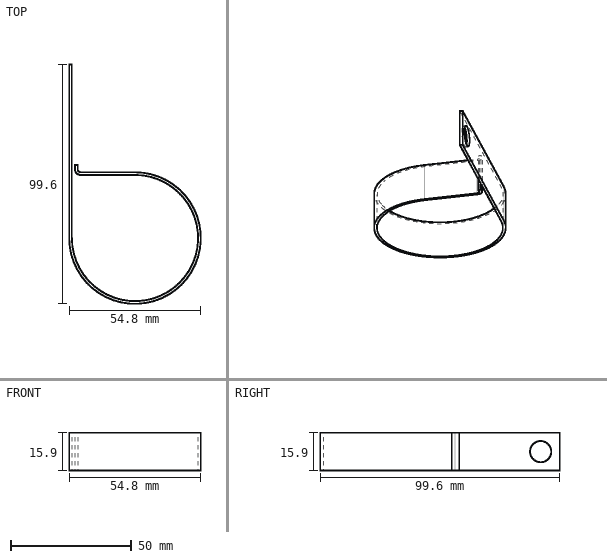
import cadquery as cq
import math

strap_width = 15.88
thickness = 1.22
loop_diameter = 54.81
overall_length = 99.62
hole_diameter = 8.73
lip_gap = 1.2
lip_rise = 3.0
lip_inner_radius = 1.2

outer_radius = loop_diameter / 2
inner_radius = outer_radius - thickness
tail_end_y = overall_length - outer_radius
hole_y = tail_end_y - strap_width / 2
lip_outer_radius = lip_inner_radius + thickness
lip_outer_x = -inner_radius + lip_gap
lip_inner_x = lip_outer_x + thickness
lip_end_y = outer_radius + lip_rise
bend_x = lip_outer_x + lip_outer_radius
bend_y = inner_radius + lip_outer_radius


def loop_midpoint(radius):
    """Point halfway around the 270 degree loop, on the +X, -Y diagonal."""
    diagonal = radius * math.sqrt(0.5)
    return (diagonal, -diagonal)


def bend_midpoint(radius):
    """Point halfway along the lip bend, on its -X, -Y diagonal."""
    diagonal = radius * math.sqrt(0.5)
    return (bend_x - diagonal, bend_y - diagonal)


def make_strap():
    """Edge outline of the bent strip, extruded across the strap width."""
    return (
        cq.Workplane("XY")
        .workplane(offset=-strap_width / 2)
        .moveTo(-outer_radius, tail_end_y)
        .lineTo(-outer_radius, 0)
        .threePointArc(loop_midpoint(outer_radius), (0, outer_radius))
        .lineTo(bend_x, outer_radius)
        .threePointArc(bend_midpoint(lip_inner_radius), (lip_inner_x, bend_y))
        .lineTo(lip_inner_x, lip_end_y)
        .lineTo(lip_outer_x, lip_end_y)
        .lineTo(lip_outer_x, bend_y)
        .threePointArc(bend_midpoint(lip_outer_radius), (bend_x, inner_radius))
        .lineTo(0, inner_radius)
        .threePointArc(loop_midpoint(inner_radius), (-inner_radius, 0))
        .lineTo(-inner_radius, tail_end_y)
        .close()
        .extrude(strap_width)
    )


def make_tail_hole():
    """Cylinder along X that pierces only the tail."""
    return (
        cq.Workplane("YZ")
        .workplane(offset=-outer_radius)
        .center(hole_y, 0)
        .circle(hole_diameter / 2)
        .extrude(thickness)
    )


result = make_strap().cut(make_tail_hole())